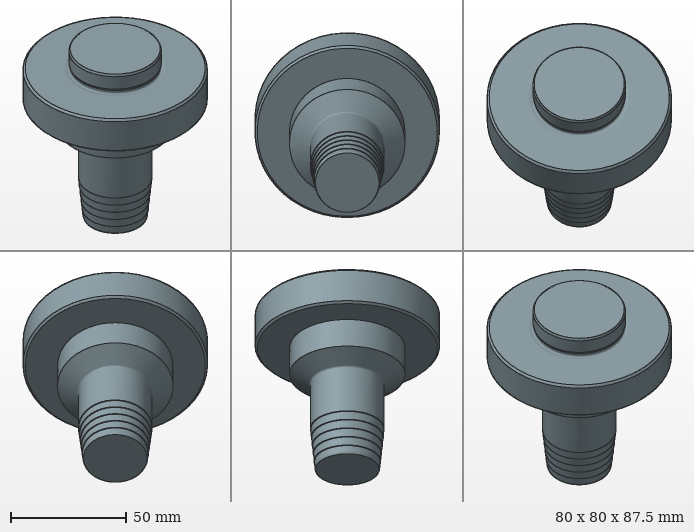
import cadquery as cq
import math

total_height = 87.5
flange_top = 77.4
flange_thickness = 17.0
flange_bottom = flange_top - flange_thickness
body_bottom = 47.25
head_bottom = 80.0
head_undercut_height = 1.0
neck_top = head_bottom - head_undercut_height

flange_radius = 40.0
body_radius = 25.0
tail_radius = 16.0
head_radius = 20.0
neck_radius = 19.7

flange_chamfer = 1.0
head_chamfer_width = 0.5
head_chamfer_height = 1.05
cone_angle = math.radians(30)
cone_fillet = 1.0
recess_radius = 21.8
recess_angle = math.radians(10)
neck_fillet = 0.6

barb_count = 5
barb_pitch = 4.0
barb_step = 0.2
barb_taper = 0.22
end_chamfer_width = 0.3
end_chamfer_height = 0.8


def add_grip(profile):
    """Trace the grip from its bottom centre up to the tail cylinder."""
    radius = tail_radius - barb_count * (barb_step + barb_taper)
    profile = profile.lineTo(radius - end_chamfer_width, 0)
    profile = profile.lineTo(radius, end_chamfer_height)
    for barb in range(1, barb_count + 1):
        step_level = barb * barb_pitch
        radius += barb_taper
        profile = profile.lineTo(radius, step_level - barb_step)
        radius += barb_step
        profile = profile.lineTo(radius, step_level)
    return profile


def add_cone(profile):
    """Trace the tail, its fillet and the cone up to the body edge."""
    cone_bottom = body_bottom - (body_radius - tail_radius) * math.tan(cone_angle)
    turn = math.pi / 2 - cone_angle
    tangent_length = cone_fillet * math.tan(turn / 2)
    centre_radius = tail_radius + cone_fillet
    centre_level = cone_bottom - tangent_length
    profile = profile.lineTo(tail_radius, centre_level)
    profile = profile.threePointArc(
        (centre_radius - cone_fillet * math.cos(turn / 2), centre_level + cone_fillet * math.sin(turn / 2)),
        (centre_radius - cone_fillet * math.cos(turn), centre_level + cone_fillet * math.sin(turn)),
    )
    return profile.lineTo(body_radius, body_bottom)


def add_flange(profile):
    """Trace the body side and the flange with both rims chamfered."""
    rim_radius = flange_radius - flange_chamfer
    profile = profile.lineTo(body_radius, flange_bottom)
    profile = profile.lineTo(rim_radius, flange_bottom)
    profile = profile.lineTo(flange_radius, flange_bottom + flange_chamfer)
    profile = profile.lineTo(flange_radius, flange_top - flange_chamfer)
    return profile.lineTo(rim_radius, flange_top)


def add_neck(profile):
    """Trace the shallow conical recess and the fillet that blends it into the neck."""
    turn = math.pi / 2 + recess_angle
    centre_radius = neck_radius + neck_fillet
    fillet_end_radius = centre_radius - neck_fillet * math.cos(turn)
    fillet_end_level = flange_top - (recess_radius - fillet_end_radius) * math.tan(recess_angle)
    centre_level = fillet_end_level + neck_fillet * math.sin(turn)
    profile = profile.lineTo(recess_radius, flange_top)
    profile = profile.lineTo(fillet_end_radius, fillet_end_level)
    profile = profile.threePointArc(
        (centre_radius - neck_fillet * math.cos(turn / 2), centre_level - neck_fillet * math.sin(turn / 2)),
        (neck_radius, centre_level),
    )
    return profile.lineTo(neck_radius, neck_top)


def add_head(profile):
    """Trace the head from its sloped underside to the chamfered top."""
    profile = profile.lineTo(head_radius, head_bottom)
    profile = profile.lineTo(head_radius, total_height - head_chamfer_height)
    profile = profile.lineTo(head_radius - head_chamfer_width, total_height)
    return profile.lineTo(0, total_height)


profile = cq.Workplane("XZ").moveTo(0, 0)
for add_section in (add_grip, add_cone, add_flange, add_neck, add_head):
    profile = add_section(profile)

result = profile.close().revolve(360, (0, 0, 0), (0, 1, 0))